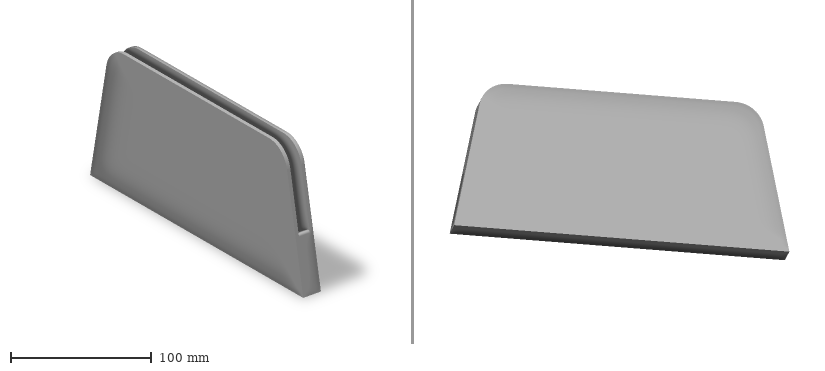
import cadquery as cq
import math

length = 243.0
thickness = 16.0
height = 112.0

top_length = 199.3
corner_radius = 20.7

slot_width = 10.0
floor_edge_height = 47.1
floor_radius = 223.5
lip_radius = 2.0


def make_plate():
    """Symmetric trapezoidal plate, centred on Y, standing on Z = 0."""
    outline = [
        (-length / 2, 0),
        (length / 2, 0),
        (top_length / 2, height),
        (-top_length / 2, height),
    ]
    plate = cq.Workplane("XZ").polyline(outline).close().extrude(thickness / 2, both=True)
    return plate.edges("|Y and >Z").fillet(corner_radius)


def make_slot_cutter():
    """Slot volume whose lower face is a concave arc spanning the plate."""
    taper = (length - top_length) / 2 / height
    half_span = length / 2 - taper * floor_edge_height
    sag = floor_radius - math.sqrt(floor_radius**2 - half_span**2)
    return (
        cq.Workplane("XZ")
        .moveTo(-half_span, floor_edge_height)
        .threePointArc((0, floor_edge_height - sag), (half_span, floor_edge_height))
        .lineTo(length / 2, floor_edge_height)
        .lineTo(length / 2, height)
        .lineTo(-length / 2, height)
        .lineTo(-length / 2, floor_edge_height)
        .close()
        .extrude(slot_width / 2, both=True)
    )


def round_lips(body):
    """Round the two crosswise edges at the ends of the slot floor."""
    reach = 2.5
    lip_zone = cq.selectors.BoxSelector(
        (-length / 2, -slot_width / 2, floor_edge_height - reach),
        (length / 2, slot_width / 2, floor_edge_height + reach),
    )
    return body.edges("|Y").edges(lip_zone).fillet(lip_radius)


result = round_lips(make_plate().cut(make_slot_cutter()))